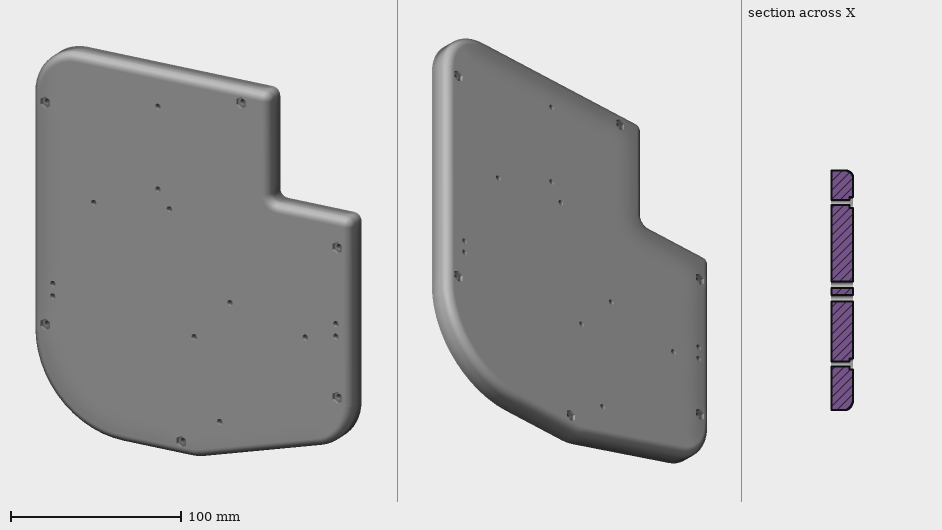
import cadquery as cq
import math

width = 215.0
height = 240.0
thickness = 13.2

notch_width = 55.0
notch_depth = 68.6

slope_start_x = 110.5
slope_angle = 16.0
slope_rise = (width - slope_start_x) * math.tan(math.radians(slope_angle))

rim_radius = 5.0
sharp_corner_radius = rim_radius
large_corner_radius = 30.0
bottom_left_radius = 60.0

screw_inset = 9.0
screw_diameter = 3.4
hex_across_flats = 6.5
hex_corner_radius = hex_across_flats / math.sqrt(3)
hex_depth = 2.2
screw_positions = [
    (screw_inset, 64.8),
    (screw_inset, 205.2),
    (141.0, height - screw_inset),
    (width - screw_inset, 152.5),
    (width - screw_inset, 57.5),
    (100.8, screw_inset),
]

mount_diameter = 3.5
single_mount_positions = [
    (85.0, 217.7),
    (85.0, 165.4),
    (92.6, 154.3),
    (41.5, 148.3),
    (133.7, 103.2),
    (184.5, 91.5),
    (109.5, 76.8),
    (126.7, 26.6),
]

pair_spacing = 8.0
pair_centers = [(14.0, 87.5), (205.2, 100.0)]


def plate():
    """Notched plate with rounded corners and a rounded front rim."""
    notch_x = width - notch_width
    notch_z = height - notch_depth
    corners = [
        (0, 0, bottom_left_radius),
        (slope_start_x, 0, large_corner_radius),
        (width, slope_rise, large_corner_radius),
        (width, notch_z, sharp_corner_radius),
        (notch_x, notch_z, sharp_corner_radius),
        (notch_x, height, sharp_corner_radius),
        (0, height, large_corner_radius),
    ]
    outline = [(x, z) for x, z, _ in corners]
    body = cq.Workplane("XZ").polyline(outline).close().extrude(-thickness)
    for x, z, radius in corners:
        corner_edge = cq.selectors.NearestToPointSelector((x, thickness / 2, z))
        body = body.edges("|Y").edges(corner_edge).fillet(radius)
    return body.faces("<Y").edges().fillet(rim_radius)


def cylinders(positions, diameter, depth):
    """Cylinders running from the front face into the plate."""
    return cq.Workplane("XZ").pushPoints(positions).circle(diameter / 2).extrude(-depth)


def hex_pockets():
    """Hexagonal pockets sunk into the front face around the screw holes."""
    hexagons = cq.Sketch().push(screw_positions).regularPolygon(hex_corner_radius, 6)
    return cq.Workplane("XZ").placeSketch(hexagons).extrude(-hex_depth)


def mount_positions():
    """Centres of all plain mounting holes."""
    pairs = [(x, z + side * pair_spacing / 2) for x, z in pair_centers for side in (-1, 1)]
    return single_mount_positions + pairs


result = (
    plate()
    .cut(cylinders(screw_positions, screw_diameter, thickness))
    .cut(hex_pockets())
    .cut(cylinders(mount_positions(), mount_diameter, thickness))
)